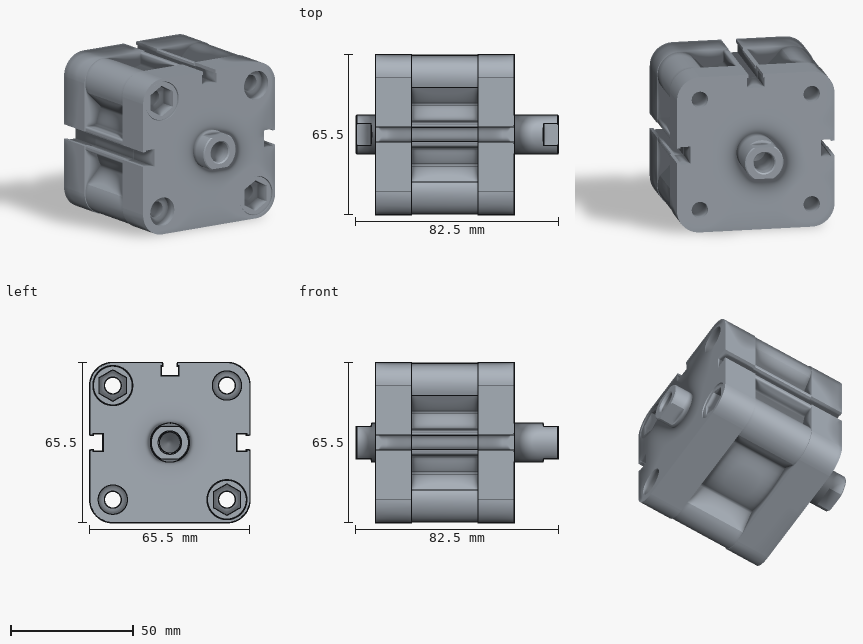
import cadquery as cq
import math


ROD_LENGTH = 82.5
HOUSING_START = -33.4
CAP_LENGTH = 14.8
BARREL_LENGTH = 27.15

CAP_SIDE = 65.5
CAP_CORNER_RADIUS = 9.5

BARREL_INSET = 0.3
TUBE_RADIUS = 27.6
LUG_RADIUS = 9.15
LUG_FLANK_WIDTH = 17.3
RIB_WIDTH = 10.15
RIB_TIP_RADIUS = 0.8
ROOT_RADIUS = 1.0

CAP_SLOT_MOUTH = 6.1
CAP_SLOT_WIDTH = 7.35
CAP_LIP = 1.4
CAP_SLOT_DEPTH = 5.6
SLOT_STEP = 0.25
MOUTH_BEVEL_WIDTH = 0.6
MOUTH_BEVEL_DEPTH = 0.2

BOLT_BORE_DIAMETER = 6.8
COUNTERBORE_DIAMETER = 12.0
COUNTERBORE_DEPTH = 4.6

COLLAR_DIAMETER = 15.8
COLLAR_CLEARANCE = 0.25
COLLAR_SETBACK = 0.4
COLLAR_LENGTH = 9.5
SOCKET_ACROSS_FLATS = 11.1
SOCKET_DEPTH = 6.8

ROD_DIAMETER = 16.0
ROD_CHAMFER = 0.4
FLATS_ACROSS = 13.2
FLAT_LENGTH = 6.0
FLAT_RUNOUT = 0.3
ROD_BORE_DIAMETER = 8.6
ROD_BORE_DEPTH = 19.8
ROD_BORE_CHAMFER = 0.5
DRILL_POINT_ANGLE = 118.0

BARREL_START = HOUSING_START + CAP_LENGTH
BARREL_END = BARREL_START + BARREL_LENGTH
HOUSING_END = BARREL_END + CAP_LENGTH
HOUSING_LENGTH = HOUSING_END - HOUSING_START
CAP_HALF = CAP_SIDE / 2
BARREL_HALF = CAP_HALF - BARREL_INSET
BOLT_OFFSET = CAP_HALF - CAP_CORNER_RADIUS

COLLAR_CENTRES = [(BOLT_OFFSET, BOLT_OFFSET), (-BOLT_OFFSET, -BOLT_OFFSET)]
PLAIN_CENTRES = [(-BOLT_OFFSET, BOLT_OFFSET), (BOLT_OFFSET, -BOLT_OFFSET)]

SLOT_TURNS = (0, 90, -90)


def section_at(x):
    """YZ workplane at the given X."""
    return cq.Workplane("YZ", origin=(x, 0, 0))


def turned(body, angle):
    """Copy of a body turned about the rod axis."""
    return body.rotate((0, 0, 0), (1, 0, 0), angle)


def cylinders(x, centres, diameter, length):
    return section_at(x).pushPoints(centres).circle(diameter / 2).extrude(length)


def make_cap(x):
    cap = section_at(x).rect(CAP_SIDE, CAP_SIDE).extrude(CAP_LENGTH)
    return cap.edges("|X").fillet(CAP_CORNER_RADIUS)


def make_lug(angle):
    """Flat-sided web running out from the tube to a round corner lug."""
    flank = LUG_FLANK_WIDTH / 2
    centre_distance = BOLT_OFFSET * math.sqrt(2)
    shoulder = centre_distance + math.sqrt(LUG_RADIUS**2 - flank**2)
    lug = (
        section_at(BARREL_START)
        .moveTo(-flank, 0)
        .lineTo(-flank, shoulder)
        .threePointArc((0, centre_distance + LUG_RADIUS), (flank, shoulder))
        .lineTo(flank, 0)
        .close()
        .extrude(BARREL_LENGTH)
    )
    return turned(lug, angle)


def make_rib(angle):
    """Straight rib with a rounded tip that carries a slot."""
    rib = section_at(BARREL_START).center(0, BARREL_HALF / 2).rect(RIB_WIDTH, BARREL_HALF)
    rib = rib.extrude(BARREL_LENGTH).edges("|X and >Z").fillet(RIB_TIP_RADIUS)
    return turned(rib, angle)


def is_root_edge(edge):
    """True for a lengthwise edge lying on the tube surface."""
    centre = edge.Center()
    return abs(math.hypot(centre.y, centre.z) - TUBE_RADIUS) < 0.01


def make_barrel():
    barrel = section_at(BARREL_START).circle(TUBE_RADIUS).extrude(BARREL_LENGTH)
    for angle in (45, 135, 225, 315):
        barrel = barrel.union(make_lug(angle))
    for angle in SLOT_TURNS:
        barrel = barrel.union(make_rib(angle))
    return barrel.edges("|X").filter(is_root_edge).fillet(ROOT_RADIUS)


def make_cap_slot(x):
    """T-slot cutter for one cap, opening toward +Z."""
    mouth = CAP_SLOT_MOUTH / 2
    width = CAP_SLOT_WIDTH / 2
    lip = CAP_HALF - CAP_LIP
    floor = CAP_HALF - CAP_SLOT_DEPTH
    outline = [(mouth, CAP_HALF), (mouth, lip), (width, lip), (width, floor)]
    mirrored = [(-y, z) for y, z in reversed(outline)]
    return section_at(x).polyline(outline + mirrored).close().extrude(CAP_LENGTH)


def make_barrel_slot():
    """T-slot cutter for the barrel, opening toward +Z through a shallow bevelled mouth."""
    mouth = CAP_SLOT_MOUTH / 2 - SLOT_STEP
    width = CAP_SLOT_WIDTH / 2 - SLOT_STEP
    lip = CAP_HALF - CAP_LIP - SLOT_STEP
    floor = CAP_HALF - CAP_SLOT_DEPTH + SLOT_STEP
    outline = [
        (mouth + MOUTH_BEVEL_WIDTH, BARREL_HALF),
        (mouth, BARREL_HALF - MOUTH_BEVEL_DEPTH),
        (mouth, lip),
        (width, lip),
        (width, floor),
    ]
    mirrored = [(-y, z) for y, z in reversed(outline)]
    return section_at(BARREL_START).polyline(outline + mirrored).close().extrude(BARREL_LENGTH)


def make_housing():
    housing = make_barrel()
    for x in (HOUSING_START, BARREL_END):
        housing = housing.union(make_cap(x))
    for angle in SLOT_TURNS:
        for cutter in (make_cap_slot(HOUSING_START), make_barrel_slot(), make_cap_slot(BARREL_END)):
            housing = housing.cut(turned(cutter, angle))

    recess_diameter = COLLAR_DIAMETER + 2 * COLLAR_CLEARANCE
    recess_depth = COLLAR_SETBACK + COLLAR_LENGTH
    bolt_centres = COLLAR_CENTRES + PLAIN_CENTRES
    housing = housing.cut(cylinders(HOUSING_START, [(0, 0)], ROD_DIAMETER, HOUSING_LENGTH))
    housing = housing.cut(cylinders(HOUSING_START, bolt_centres, BOLT_BORE_DIAMETER, HOUSING_LENGTH))
    housing = housing.cut(cylinders(HOUSING_START, PLAIN_CENTRES, COUNTERBORE_DIAMETER, COUNTERBORE_DEPTH))
    return housing.cut(cylinders(HOUSING_START, COLLAR_CENTRES, recess_diameter, recess_depth))


def make_collar(centre):
    """Round collar with a hexagon socket, seated in its recess; two socket sides are upright."""
    face = HOUSING_START + COLLAR_SETBACK
    socket_corners = SOCKET_ACROSS_FLATS / math.cos(math.pi / 6)
    collar = cylinders(face, [centre], COLLAR_DIAMETER, COLLAR_LENGTH)
    bore = cylinders(face, [centre], BOLT_BORE_DIAMETER, COLLAR_LENGTH)
    socket = section_at(face).polygon(6, socket_corners).extrude(SOCKET_DEPTH)
    socket = turned(socket, 90).translate((0, *centre))
    return collar.cut(bore).cut(socket)


def make_rod_end_bore():
    """Chamfered blind bore with a drill point at the -X end, revolved about X."""
    start = -ROD_LENGTH / 2
    radius = ROD_BORE_DIAMETER / 2
    bottom = start + ROD_BORE_DEPTH
    tip = bottom + radius / math.tan(math.radians(DRILL_POINT_ANGLE / 2))
    outline = [
        (start, 0),
        (start, radius + ROD_BORE_CHAMFER),
        (start + ROD_BORE_CHAMFER, radius),
        (bottom, radius),
        (tip, 0),
    ]
    return cq.Workplane("XY").polyline(outline).close().revolve(360, (0, 0, 0), (1, 0, 0))


def make_rod_flat():
    """Cutter for the upper wrench flat at the -X end, ending in a slope."""
    start = -ROD_LENGTH / 2
    flat_end = start + FLAT_LENGTH
    flat = FLATS_ACROSS / 2
    top = ROD_DIAMETER / 2
    outline = [(start, flat), (flat_end, flat), (flat_end + FLAT_RUNOUT, top), (start, top)]
    return cq.Workplane("XZ").polyline(outline).close().extrude(ROD_DIAMETER / 2, both=True)


def make_rod():
    rod = cylinders(-ROD_LENGTH / 2, [(0, 0)], ROD_DIAMETER, ROD_LENGTH)
    rod = rod.faces("<X or >X").chamfer(ROD_CHAMFER)
    flat = make_rod_flat()
    for cutter in (make_rod_end_bore(), flat, turned(flat, 180)):
        rod = rod.cut(cutter).cut(cutter.mirror("YZ"))
    return rod


housing = make_housing()
rod = make_rod()
collars = [make_collar(centre) for centre in COLLAR_CENTRES]

result = cq.Compound.makeCompound(
    [housing.val(), rod.val(), *[collar.val() for collar in collars]]
)